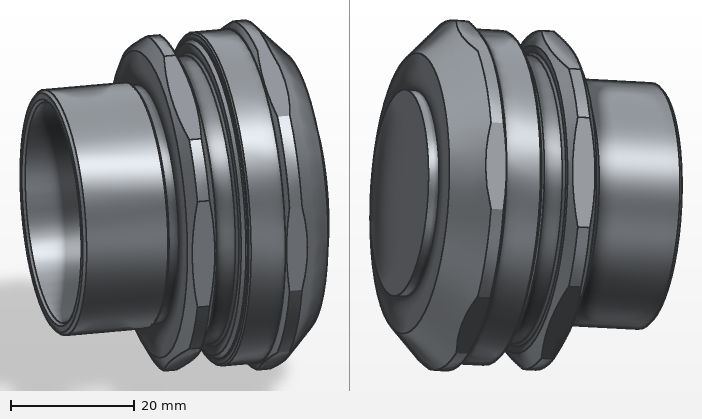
import cadquery as cq


tube_radius = 20.0
tube_edge_chamfer = 0.5
tube_length = 14.15
tube_back_chamfer = 0.35
stem_radius = tube_radius - 0.5
bore_radius = 36.0 / 2
bore_chamfer = 0.45
bore_depth = tube_length

nut_front = 16.05
nut_thickness = 4.9
nut_corner_radius = 27.5
nut_flat_distance = 25.95
nut_face_radius = 25.0
nut_bevel = 1.4

neck_radius = 23.45
neck_flare = 0.45
neck_length = 4.05

step_radius = 52.0 / 2
step_bevel = 0.6
step_length = 0.9
collar_radius = 27.15
collar_bevel = 0.3
collar_length = 6.0

cap_corner_radius = 28.4
cap_flat_distance = 55.0 / 2
cap_front_bevel = 0.6
cap_land = 2.1
cap_front_radius = 54.5 / 2
cap_face_radius = 22.8
cap_back_bevel = cap_corner_radius - cap_face_radius

disc_radius = 16.75
total_length = 42.0

nut_back = nut_front + nut_thickness
neck_back = nut_back + neck_length
collar_front = neck_back + step_length
cap_front = collar_front + collar_length
cap_land_front = cap_front + cap_front_bevel
cap_land_back = cap_land_front + cap_land
cap_back = cap_land_back + cap_back_bevel


def turned(outline):
    """Revolve (radius, y) points, closed along the axis, about the Y axis."""
    points = [(0, outline[0][1])] + outline + [(0, outline[-1][1])]
    return cq.Workplane("XY").polyline(points).close().revolve(360, (0, 0), (0, 1))


def hexagon(flat_distance, y_front, y_back):
    """Hexagonal prism along Y with two of its flats facing +X and -X."""
    corner_diameter = 2 * flat_distance / (3 ** 0.5 / 2)
    return (
        cq.Workplane("XZ", origin=(0, y_front, 0))
        .transformed(rotate=(0, 0, 30))
        .polygon(6, corner_diameter)
        .extrude(y_front - y_back)
    )


def make_tube():
    outline = [
        (tube_radius - tube_edge_chamfer, 0),
        (tube_radius, tube_edge_chamfer),
        (tube_radius, tube_length),
        (stem_radius, tube_length + tube_back_chamfer),
        (stem_radius, nut_front),
    ]
    return turned(outline)


def make_nut():
    outline = [
        (nut_face_radius, nut_front),
        (nut_corner_radius, nut_front + nut_bevel),
        (nut_corner_radius, nut_back - nut_bevel),
        (nut_face_radius, nut_back),
    ]
    return turned(outline).intersect(hexagon(nut_flat_distance, nut_front, nut_back))


def make_neck_and_collar():
    outline = [
        (neck_radius + neck_flare, nut_back),
        (neck_radius, nut_back + neck_flare),
        (neck_radius, neck_back - neck_flare),
        (neck_radius + neck_flare, neck_back),
        (step_radius - step_bevel, neck_back),
        (step_radius, neck_back + step_bevel),
        (step_radius, collar_front),
        (collar_radius - collar_bevel, collar_front),
        (collar_radius, collar_front + collar_bevel),
        (collar_radius, cap_front),
    ]
    return turned(outline)


def make_cap():
    outline = [
        (cap_front_radius, cap_front),
        (cap_corner_radius, cap_land_front),
        (cap_corner_radius, cap_land_back),
        (cap_face_radius, cap_back),
    ]
    return turned(outline).intersect(hexagon(cap_flat_distance, cap_front, cap_back))


def make_disc():
    return turned([(disc_radius, cap_back), (disc_radius, total_length)])


def make_bore():
    outline = [
        (bore_radius + bore_chamfer, 0),
        (bore_radius, bore_chamfer),
        (bore_radius, bore_depth),
    ]
    return turned(outline)


result = (
    make_tube()
    .union(make_nut())
    .union(make_neck_and_collar())
    .union(make_cap())
    .union(make_disc())
    .cut(make_bore())
)